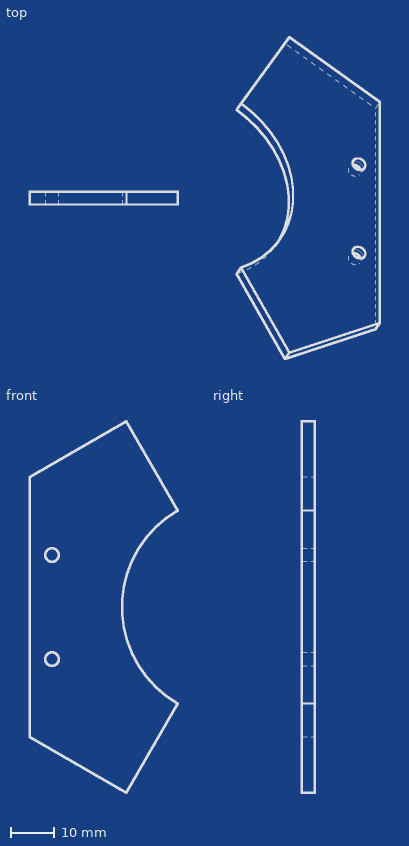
import cadquery as cq
import math

thickness = 3.0
height = 85.5
back_edge_length = 59.85
bore_radius = 25.65
sector_half_angle = math.radians(60)
hole_diameter = 3.1
hole_spacing = 23.9
hole_inset = 5.1

half_height = height / 2
half_back = back_edge_length / 2

corner_x = (half_height - half_back) * math.tan(sector_half_angle)
bore_center_x = corner_x + half_height / math.tan(sector_half_angle)
tip_x = bore_center_x - bore_radius * math.cos(sector_half_angle)
tip_z = bore_radius * math.sin(sector_half_angle)

plate = (
    cq.Workplane("XZ")
    .moveTo(0, -half_back)
    .lineTo(0, half_back)
    .lineTo(corner_x, half_height)
    .lineTo(tip_x, tip_z)
    .threePointArc((bore_center_x - bore_radius, 0), (tip_x, -tip_z))
    .lineTo(corner_x, -half_height)
    .close()
    .extrude(thickness / 2, both=True)
)

holes = (
    cq.Workplane("XZ")
    .pushPoints([(hole_inset, side * hole_spacing / 2) for side in (-1, 1)])
    .circle(hole_diameter / 2)
    .extrude(thickness, both=True)
)

result = plate.cut(holes)